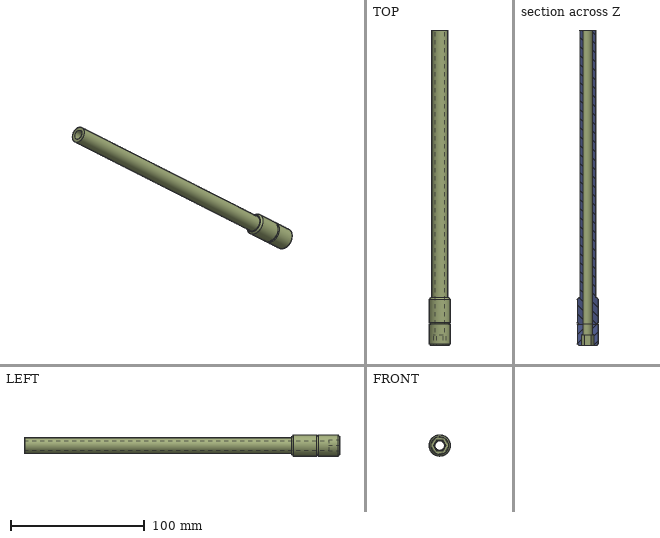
import cadquery as cq

TOTAL_LENGTH = 236.0
HEAD_DIAMETER = 16.0
ROD_DIAMETER = 12.0
BORE_DIAMETER = 7.0

CAP_LENGTH = 16.0
COLLAR_LENGTH = 20.0

END_CHAMFER = 1.5
SOCKET_ACROSS_FLATS = 8.0
SOCKET_DEPTH = 8.0

FRONT_Y = -TOTAL_LENGTH / 2
JOINT_Y = FRONT_Y + CAP_LENGTH
STEP_Y = JOINT_Y + COLLAR_LENGTH
ROD_LENGTH = TOTAL_LENGTH - CAP_LENGTH - COLLAR_LENGTH
SOCKET_ACROSS_CORNERS = SOCKET_ACROSS_FLATS * 2 / 3**0.5


def section_plane(y):
    """XZ sketch plane at the given Y, extruding toward +Y."""
    return cq.Workplane(cq.Plane(origin=(0, y, 0), xDir=(1, 0, 0), normal=(0, 1, 0)))


def cylinder(y, diameter, length):
    return section_plane(y).circle(diameter / 2).extrude(length)


def make_socket_cap():
    """Front cap with a chamfered nose, a hexagonal socket and the bore behind it."""
    cap = cylinder(FRONT_Y, HEAD_DIAMETER, CAP_LENGTH).faces("<Y").chamfer(END_CHAMFER)
    socket = section_plane(FRONT_Y).polygon(6, SOCKET_ACROSS_CORNERS).extrude(SOCKET_DEPTH)
    bore = cylinder(FRONT_Y, BORE_DIAMETER, CAP_LENGTH)
    return cap.cut(socket).cut(bore)


def make_collared_tube():
    """Long tube with a collar; the collar's front chamfer leaves a groove against the cap."""
    collar = cylinder(JOINT_Y, HEAD_DIAMETER, COLLAR_LENGTH)
    collar = collar.faces("<Y").chamfer(END_CHAMFER)
    collar = collar.faces(">Y").chamfer(END_CHAMFER)
    rod = cylinder(STEP_Y, ROD_DIAMETER, ROD_LENGTH)
    bore = cylinder(JOINT_Y, BORE_DIAMETER, COLLAR_LENGTH + ROD_LENGTH)
    return collar.union(rod).cut(bore)


socket_cap = make_socket_cap()
collared_tube = make_collared_tube()

result = cq.Compound.makeCompound([socket_cap.val(), collared_tube.val()])